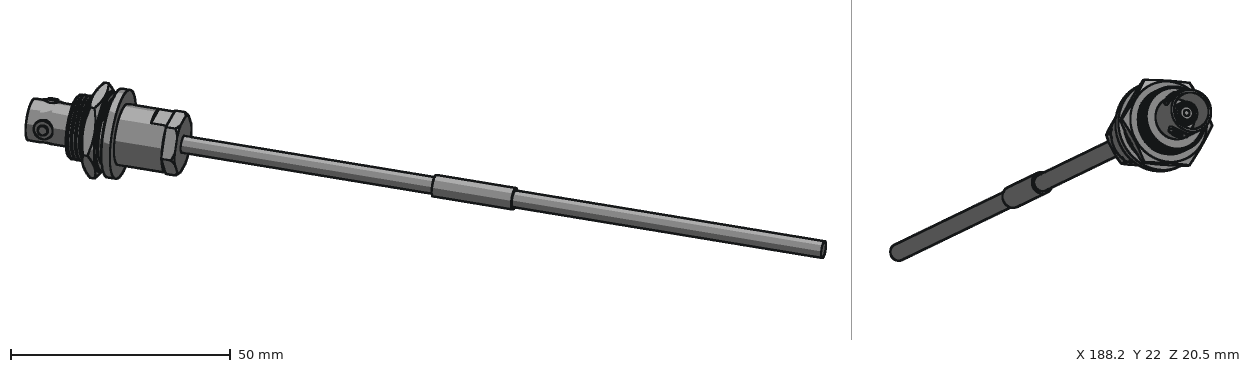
import cadquery as cq
import math


barrel_radius = 4.85
barrel_bore_radius = 4.2
barrel_bore_depth = 9.0
band_start = 2.85
band_width = 2.7
band_floor_radius = 4.75
thread_start = 10.2
thread_radius = 7.5
thread_depth = 0.6
thread_pitch = 1.0
thread_groove_width = 0.8 * thread_pitch
thread_lead_in = 0.6 * thread_pitch
thread_chamfer = 0.5
shoulder_radius = 9.0
shoulder_length = 0.5
flange_radius = 10.26
flange_start = 19.7
flange_length = 2.0
body_end = 33.0
rear_radius = 7.05
wrench_size = 12.7
flat_start = 29.3

lug_count = 3
lug_first_angle = 50.0
lug_radius = 1.15
lug_reach = 5.4
lug_base_radius = 2.25
lug_base_reach = 4.92
lug_x = band_start + band_width / 2

hex_nut_size = 19.05
hex_nut_start = 14.6
hex_nut_length = 3.0
hex_nut_chamfer_angle = 30.0
hex_nut_face_radius = 9.3
washer_length = 0.5
washer_radius = 9.0

clamp_nut_length = 3.0
clamp_nut_chamfer = 0.7

insulator_radius = 2.6
insulator_start = 3.0
insulator_end = 20.0
socket_outer_radius = 2.05
socket_inner_radius = 1.55
socket_depth = 5.0
contact_radius = 0.7
contact_start = insulator_start

cable_radius = 1.95
cable_end = 188.21
sleeve_radius = 2.5
sleeve_start = 95.8
sleeve_length = 18.9


def cylinder(start, end, radius):
    """Round bar on the X axis."""
    return cq.Workplane("YZ", origin=(start, 0, 0)).circle(radius).extrude(end - start)


def tube(start, end, outer_radius, inner_radius):
    """Round bar with a through hole, on the X axis."""
    return cylinder(start, end, outer_radius).cut(cylinder(start, end, inner_radius))


def corner_radius(size):
    """Centre-to-corner distance of a hexagon of the given size across flats."""
    return size / 2 / math.cos(math.radians(30))


def hex_bar(start, end, size):
    """Hexagonal bar on the X axis, with flats facing +Z and -Z and corners on Y."""
    return cq.Workplane("YZ", origin=(start, 0, 0)).polygon(6, 2 * corner_radius(size)).extrude(end - start)


def thread_groove():
    """Helical V groove that runs in from ahead of the threaded end face."""
    root_radius = thread_radius - thread_depth
    overshoot = 0.1
    half_mouth = thread_groove_width / 2 * (1 + overshoot / thread_depth)
    helix_start = thread_start - thread_lead_in
    helix_end = flange_start - shoulder_length - thread_pitch
    helix = cq.Wire.makeHelix(thread_pitch, helix_end - helix_start, root_radius)
    groove = (
        cq.Workplane("XZ")
        .moveTo(root_radius, 0)
        .lineTo(thread_radius + overshoot, -half_mouth)
        .lineTo(thread_radius + overshoot, half_mouth)
        .close()
        .sweep(cq.Workplane(obj=helix), isFrenet=True)
    )
    return groove.rotate((0, 0, 0), (0, 1, 0), 90).translate((helix_start, 0, 0))


def band_groove():
    """Shallow rounded groove around the barrel, in line with the lugs."""
    return (
        cq.Workplane("XY")
        .moveTo(band_start, barrel_radius)
        .threePointArc((lug_x, band_floor_radius), (band_start + band_width, barrel_radius))
        .close()
        .revolve(360, (0, 0, 0), (1, 0, 0))
    )


def bayonet_lug(angle):
    """Radial pin on a round base; the angle runs from +Y towards +Z."""
    centre = cq.Workplane("XZ", origin=(lug_x, 0, 0))
    base = centre.circle(lug_base_radius).extrude(-lug_base_reach)
    lug = centre.circle(lug_radius).extrude(-lug_reach).union(base)
    return lug.rotate((0, 0, 0), (1, 0, 0), angle)


def make_body():
    flange_end = flange_start + flange_length
    shoulder_start = flange_start - shoulder_length
    threaded = cylinder(thread_start, flange_start, thread_radius)
    threaded = threaded.faces("<X").chamfer(thread_chamfer).cut(thread_groove())

    rear = cylinder(flange_end, body_end, rear_radius)
    flat_cutter = cq.Workplane("XY").box(
        body_end - flat_start, 2 * rear_radius, rear_radius, centered=(False, True, False)
    )
    upper_flat = flat_cutter.translate((flat_start, 0, wrench_size / 2))
    rear = rear.cut(upper_flat).cut(upper_flat.mirror("XY"))

    body = cylinder(0, thread_start, barrel_radius)
    body = body.cut(band_groove())
    for index in range(lug_count):
        body = body.union(bayonet_lug(lug_first_angle + index * 360 / lug_count))
    body = body.union(threaded)
    body = body.union(cylinder(shoulder_start, flange_start, shoulder_radius))
    body = body.union(cylinder(flange_start, flange_end, flange_radius))
    body = body.union(rear)

    body = body.cut(cylinder(0, barrel_bore_depth, barrel_bore_radius))
    body = body.cut(cylinder(barrel_bore_depth, insulator_end, insulator_radius))
    return body.cut(cylinder(insulator_end, body_end, cable_radius))


def make_hex_nut():
    """Nut with a plain bore on the thread crests and both faces chamfered."""
    end = hex_nut_start + hex_nut_length
    outer_radius = corner_radius(hex_nut_size)
    drop = (outer_radius - hex_nut_face_radius) * math.tan(math.radians(hex_nut_chamfer_angle))
    envelope = (
        cq.Workplane("XY")
        .moveTo(hex_nut_start, 0)
        .lineTo(hex_nut_start, hex_nut_face_radius)
        .lineTo(hex_nut_start + drop, outer_radius)
        .lineTo(end - drop, outer_radius)
        .lineTo(end, hex_nut_face_radius)
        .lineTo(end, 0)
        .close()
        .revolve(360, (0, 0, 0), (1, 0, 0))
    )
    nut = hex_bar(hex_nut_start, end, hex_nut_size).intersect(envelope)
    return nut.cut(cylinder(hex_nut_start, end, thread_radius))


def make_washer():
    start = hex_nut_start + hex_nut_length
    return tube(start, start + washer_length, washer_radius, thread_radius)


def make_clamp_nut():
    """Hexagonal nut behind the body, its rear corners chamfered."""
    end = body_end + clamp_nut_length
    outer_radius = corner_radius(wrench_size)
    envelope = cylinder(body_end, end, outer_radius).faces(">X").chamfer(clamp_nut_chamfer)
    nut = hex_bar(body_end, end, wrench_size).intersect(envelope)
    return nut.cut(cylinder(body_end, end, cable_radius))


def make_insulator():
    """Round insulator with an annular socket in its front face and the contact in its core."""
    insulator = cylinder(insulator_start, insulator_end, insulator_radius)
    socket_end = insulator_start + socket_depth
    insulator = insulator.cut(tube(insulator_start, socket_end, socket_outer_radius, socket_inner_radius))
    return insulator.cut(cylinder(insulator_start, insulator_end, contact_radius))


def make_contact():
    return cylinder(contact_start, insulator_end, contact_radius)


def make_cable():
    return cylinder(insulator_end, cable_end, cable_radius)


def make_sleeve():
    return tube(sleeve_start, sleeve_start + sleeve_length, sleeve_radius, cable_radius)


body = make_body()
hex_nut = make_hex_nut()
washer = make_washer()
clamp_nut = make_clamp_nut()
insulator = make_insulator()
contact = make_contact()
cable = make_cable()
sleeve = make_sleeve()

result = cq.Compound.makeCompound([
    body.val(),
    hex_nut.val(),
    washer.val(),
    clamp_nut.val(),
    insulator.val(),
    contact.val(),
    cable.val(),
    sleeve.val(),
])